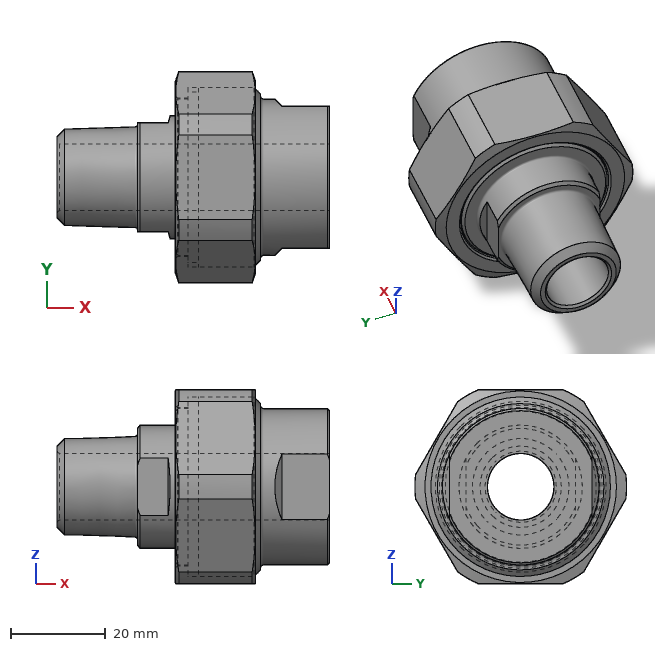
import cadquery as cq
import math

total_length = 57.5
bore_radius = 14.0 / 2

nut_start = 24.95
nut_end = 41.9
across_flats = 41.0
nut_corner_radius = 44.7 / 2
nut_face_radius = 20.2
nut_chamfer_length = 0.75
lip_bore_radius = 33.5 / 2
lip_chamfer = 0.43
lip_end = 27.6
thread_radius = 37.85 / 2

tip_chamfer = 1.6
taper_start_radius = 10.2
taper_end = 16.5
taper_end_radius = taper_start_radius + (taper_end - tip_chamfer) / 32
mouth_chamfer = 0.5
collar_start = 16.95
neck_fillet = collar_start - taper_end
collar_radius = 26.0 / 2
collar_face_radius = 24.6 / 2
collar_chamfer_length = 0.6
collar_fillet = 0.4
hub_face = 25.0
hub_radius = 33.0 / 2
hub_chamfer = 0.6
flange_radius = 36.0 / 2
flange_end = 29.9
nipple_flat_distance = 11.5
nipple_flat_end = 23.45
nipple_runout_angle = 15.0

cone_end = 42.95
cone_end_radius = 17.55
cone_start = cone_end - (thread_radius - cone_end_radius)
socket_radius = 33.0 / 2
socket_fillet = 0.7
socket_end_chamfer = 0.45
socket_flat_distance = 15.0
socket_flat_start = 47.45
socket_runout_angle = 45.0


def revolve_x(profile):
    """Revolve a closed (axial, radial) profile about the X axis."""
    return profile.close().revolve(360, (0, 0, 0), (1, 0, 0))


def arc_middle(center_x, center_r, radius):
    """Middle point of a concave fillet: centre outward of it, on its -X side (radius > 0) or +X side."""
    reach = abs(radius) * math.sqrt(0.5)
    return (center_x + math.copysign(reach, radius), center_r - reach)


def cut_wrench_flats(body, open_end, flat_end, distance, runout_angle, outer_radius):
    """Cut two flats facing -Y and +Y, from open_end to flat_end, with a sloped runout."""
    depth = outer_radius - distance
    runout = math.copysign(depth * math.tan(math.radians(runout_angle)), flat_end - open_end)
    for side in (-1, 1):
        cutter = (
            cq.Workplane("XY")
            .polyline([
                (open_end, side * distance),
                (flat_end, side * distance),
                (flat_end + runout, side * outer_radius),
                (open_end, side * outer_radius),
            ])
            .close()
            .extrude(outer_radius, both=True)
        )
        body = body.cut(cutter)
    return body


def make_nipple():
    neck_radius = taper_end_radius + neck_fillet
    root_radius = collar_radius + collar_fillet
    profile = (
        cq.Workplane("XY")
        .moveTo(mouth_chamfer, bore_radius)
        .lineTo(0, bore_radius + mouth_chamfer)
        .lineTo(0, taper_start_radius - tip_chamfer)
        .lineTo(tip_chamfer, taper_start_radius)
        .lineTo(taper_end, taper_end_radius)
        .threePointArc(arc_middle(taper_end, neck_radius, neck_fillet), (collar_start, neck_radius))
        .lineTo(collar_start, collar_face_radius)
        .lineTo(collar_start + collar_chamfer_length, collar_radius)
        .lineTo(hub_face - collar_fillet, collar_radius)
        .threePointArc(
            arc_middle(hub_face - collar_fillet, root_radius, collar_fillet),
            (hub_face, root_radius),
        )
        .lineTo(hub_face, hub_radius - hub_chamfer)
        .lineTo(hub_face + hub_chamfer, hub_radius)
        .lineTo(lip_end, hub_radius)
        .lineTo(lip_end, flange_radius)
        .lineTo(flange_end, flange_radius)
        .lineTo(flange_end, bore_radius)
    )
    return cut_wrench_flats(
        revolve_x(profile), collar_start, nipple_flat_end,
        nipple_flat_distance, nipple_runout_angle, root_radius,
    )


def make_socket_end():
    root_radius = socket_radius + socket_fillet
    fillet_end = cone_end + socket_fillet
    profile = (
        cq.Workplane("XY")
        .moveTo(flange_end, bore_radius)
        .lineTo(flange_end, thread_radius)
        .lineTo(cone_start, thread_radius)
        .lineTo(cone_end, cone_end_radius)
        .lineTo(cone_end, root_radius)
        .threePointArc(arc_middle(fillet_end, root_radius, -socket_fillet), (fillet_end, socket_radius))
        .lineTo(total_length - socket_end_chamfer, socket_radius)
        .lineTo(total_length, socket_radius - socket_end_chamfer)
        .lineTo(total_length, bore_radius)
    )
    return cut_wrench_flats(
        revolve_x(profile), total_length, socket_flat_start,
        socket_flat_distance, socket_runout_angle, socket_radius,
    )


def make_nut():
    blank = revolve_x(
        cq.Workplane("XY")
        .moveTo(nut_start, lip_bore_radius + lip_chamfer)
        .lineTo(nut_start, nut_face_radius)
        .lineTo(nut_start + nut_chamfer_length, nut_corner_radius)
        .lineTo(nut_end - nut_chamfer_length, nut_corner_radius)
        .lineTo(nut_end, nut_face_radius)
        .lineTo(nut_end, thread_radius)
        .lineTo(lip_end, thread_radius)
        .lineTo(lip_end, lip_bore_radius)
        .lineTo(nut_start + lip_chamfer, lip_bore_radius)
    )
    hexagon = (
        cq.Workplane("YZ", origin=(nut_start, 0, 0))
        .polygon(6, across_flats / math.cos(math.radians(30)))
        .extrude(nut_end - nut_start)
    )
    return blank.intersect(hexagon)


nipple = make_nipple()
socket_end = make_socket_end()
nut = make_nut()

result = cq.Compound.makeCompound([nipple.val(), socket_end.val(), nut.val()])